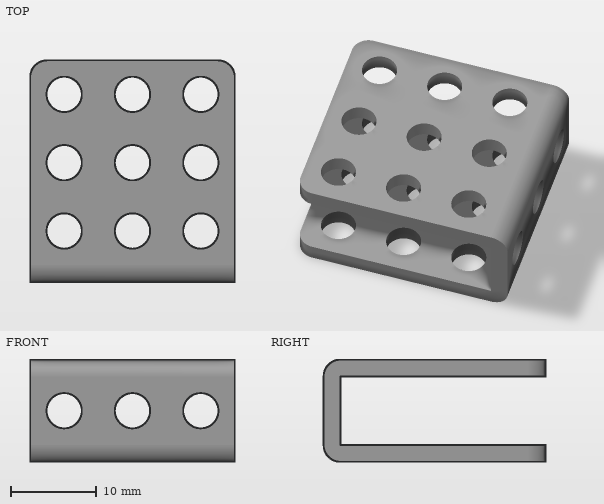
import cadquery as cq

length = 26.0
width = 24.0
holes_per_row = 3
wall = 2.0
corner_radius = wall
hole_diameter = 4.1

pitch = width / holes_per_row
height = 1.5 * pitch
web_face_y = -length / 2
tip_y = length / 2
flange_grid_y = tip_y - holes_per_row * pitch / 2


def channel():
    """U-shaped channel, open toward +Y, with sharp inner corners."""
    block = cq.Workplane("XY").box(width, length, height)
    block = block.edges("|X and <Y").fillet(corner_radius)
    gap = cq.Workplane("XY").box(width, length, height - 2 * wall).translate((0, wall, 0))
    return block.cut(gap).edges("|Z and >Y").fillet(corner_radius)


def flange_holes():
    """Square grid of holes passing through both flanges."""
    return (
        cq.Workplane("XY")
        .center(0, flange_grid_y)
        .rarray(pitch, pitch, holes_per_row, holes_per_row)
        .circle(hole_diameter / 2)
        .extrude(height / 2, both=True)
    )


def web_holes():
    """Single row of holes through the web, centred in its height."""
    return (
        cq.Workplane("XZ", origin=(0, web_face_y, 0))
        .rarray(pitch, pitch, holes_per_row, 1)
        .circle(hole_diameter / 2)
        .extrude(-wall)
    )


result = channel().cut(flange_holes()).cut(web_holes())